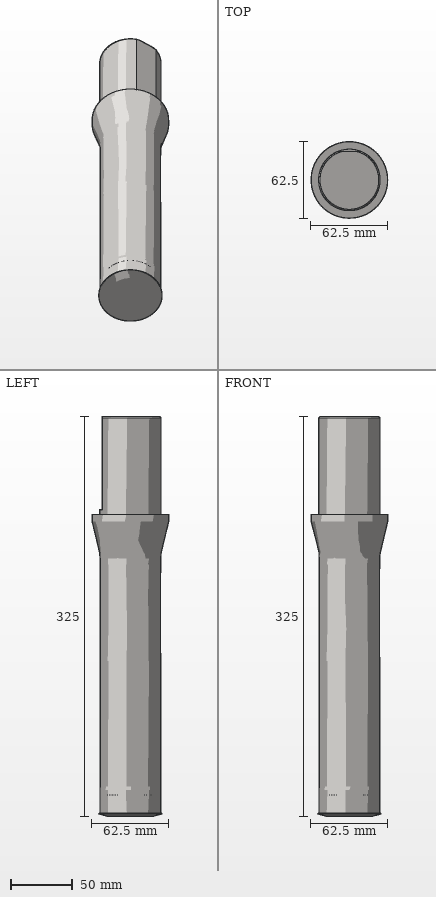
import cadquery as cq

TOTAL_LENGTH = 325.0
COLLAR_TOP = 245.5
COLLAR_HEIGHT = 6.0
FLARE_HEIGHT = 30.2
COLLAR_SEAT_HEIGHT = 5.0
WAIST_LENGTH = 78.3
STEP_TOP = 24.0
STEP_HEIGHT = 3.0
FLARE_BOTTOM = COLLAR_TOP - COLLAR_HEIGHT - FLARE_HEIGHT
WAIST_TOP = FLARE_BOTTOM - COLLAR_SEAT_HEIGHT
WAIST_BOTTOM = WAIST_TOP - WAIST_LENGTH
STEP_BOTTOM = STEP_TOP - STEP_HEIGHT

SHANK_RADIUS = 50.0 / 2
COLLAR_RADIUS = 62.5 / 2
BODY_RADIUS = 49.5 / 2
WAIST_RADIUS = 49.0 / 2
NOSE_RADIUS = 49.7 / 2
FLARE_SLOPE = 0.24
FLARE_STRAIGHT_HEIGHT = 21.0

RIM_CHAMFER = 1.15
FLAT_DEPTH = 2.0
FLAT_TO_COLLAR = 4.0

CROWN_RADIUS = 51.7 / 2
CROWN_HEIGHT = 3.0
CROWN_EDGE_HEIGHT = 2.0
CROWN_FACE_RADIUS = 18.5
CORE_RADIUS = 47.8 / 2
CORE_TOP = 17.2

AXIS_START = (0, 0, 0)
AXIS_END = (0, 1, 0)


def make_core():
    """Cylindrical core of the tip, also the shape of the recess that holds it."""
    core_height = CORE_TOP - CROWN_HEIGHT
    return cq.Workplane("XY", origin=(0, 0, CROWN_HEIGHT)).circle(CORE_RADIUS).extrude(core_height)


def make_turned_holder():
    """Shank, collar, flare, waisted body and nose, turned about Z."""
    flare_top = COLLAR_TOP - COLLAR_HEIGHT
    straight_end = (
        COLLAR_RADIUS - FLARE_SLOPE * FLARE_STRAIGHT_HEIGHT,
        flare_top - FLARE_STRAIGHT_HEIGHT,
    )
    waist_middle = (WAIST_RADIUS, (WAIST_TOP + WAIST_BOTTOM) / 2)
    profile = (
        cq.Workplane("XZ")
        .moveTo(0, TOTAL_LENGTH)
        .lineTo(SHANK_RADIUS - RIM_CHAMFER, TOTAL_LENGTH)
        .lineTo(SHANK_RADIUS, TOTAL_LENGTH - RIM_CHAMFER)
        .lineTo(SHANK_RADIUS, COLLAR_TOP)
        .lineTo(COLLAR_RADIUS, COLLAR_TOP)
        .lineTo(COLLAR_RADIUS, flare_top)
        .spline(
            [straight_end, (BODY_RADIUS, FLARE_BOTTOM)],
            tangents=[(-FLARE_SLOPE, -1), (0, -1)],
            includeCurrent=True,
        )
        .lineTo(BODY_RADIUS, WAIST_TOP)
        .threePointArc(waist_middle, (BODY_RADIUS, WAIST_BOTTOM))
        .lineTo(BODY_RADIUS, STEP_TOP)
        .lineTo(NOSE_RADIUS, STEP_BOTTOM)
        .lineTo(NOSE_RADIUS, CROWN_HEIGHT)
        .lineTo(0, CROWN_HEIGHT)
        .close()
    )
    return profile.revolve(360, AXIS_START, AXIS_END)


def cut_clamping_flat(holder):
    """Mill the flat along the +Y side of the shank, ending just above the collar."""
    flat_bottom = COLLAR_TOP + FLAT_TO_COLLAR
    waste = (
        cq.Workplane("XY", origin=(0, SHANK_RADIUS, flat_bottom))
        .rect(2 * SHANK_RADIUS, 2 * FLAT_DEPTH)
        .extrude(TOTAL_LENGTH - flat_bottom)
    )
    return holder.cut(waste)


def make_holder():
    """Turned holder with its clamping flat and the recess for the core of the tip."""
    return cut_clamping_flat(make_turned_holder()).cut(make_core())


def make_cutting_tip():
    """Crown with a bevelled face and a rim slightly wider than the nose, joined to its core."""
    crown = (
        cq.Workplane("XZ")
        .moveTo(0, 0)
        .lineTo(CROWN_FACE_RADIUS, 0)
        .lineTo(CROWN_RADIUS, CROWN_EDGE_HEIGHT)
        .lineTo(NOSE_RADIUS, CROWN_HEIGHT)
        .lineTo(0, CROWN_HEIGHT)
        .close()
        .revolve(360, AXIS_START, AXIS_END)
    )
    return crown.union(make_core())


holder = make_holder()
cutting_tip = make_cutting_tip()

result = cq.Compound.makeCompound([holder.val(), cutting_tip.val()])